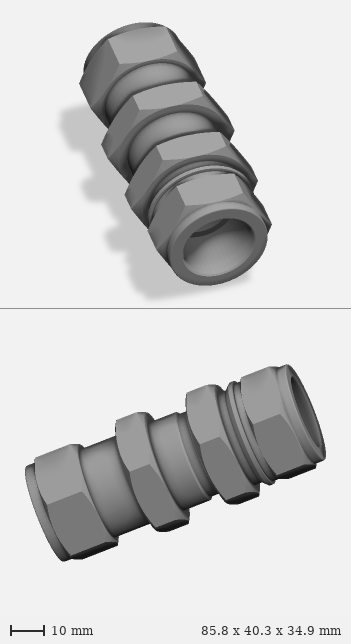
import cadquery as cq
import math

length = 85.8

end_collar_length = 3.1
coupling_nut_end = 17.5
body_nut_start = 30.6
lock_nut_start = 53.65
thick_nut_length = 9.6
groove_start = 48.8
groove_taper = 0.6
groove_end = 52.5
washer_seat_end = 65.6
washer_cone_end = 67.4
washer_end = 68.7
rear_nut_start = 70.9

edge_rounding = 0.4

collar_diameter = 31.2
body_diameter = 28.6
groove_diameter = 26.8
groove_taper_diameter = 27.2
washer_seat_diameter = 29.9
washer_diameter = 33.4
nut_neck_diameter = 31.7
bore_diameter = 18.3
socket_diameter = 22.4

small_hex_corners = 36.65
large_hex_corners = 40.3
hex_chamfer_angle = 30.0
hex_half_side_angle = 180.0 / 6

socket_depth = 17.4
socket_chamfer = 0.4

large_hex_flats = large_hex_corners * math.cos(math.radians(hex_half_side_angle))
body_nut_end = body_nut_start + thick_nut_length
lock_nut_end = lock_nut_start + thick_nut_length
rear_nut_end = length - end_collar_length


def turned(points):
    """Solid of revolution about X through the given (x, diameter) stations."""
    start_x = points[0][0]
    end_x = points[-1][0]
    radii = [(x, diameter / 2) for x, diameter in points]
    outline = cq.Workplane("XY").polyline([(start_x, 0)] + radii + [(end_x, 0)]).close()
    return outline.revolve(360, (0, 0, 0), (1, 0, 0))


def hex_nut(start, end, across_corners, start_face_diameter, end_face_diameter):
    """Hexagon with flats facing up and down, its corners coned down to a round face at each end."""
    chamfer_slope = math.tan(math.radians(hex_chamfer_angle))
    start_chamfer = (across_corners - start_face_diameter) / 2 * chamfer_slope
    end_chamfer = (across_corners - end_face_diameter) / 2 * chamfer_slope
    prism = (
        cq.Workplane("YZ")
        .workplane(offset=start)
        .polygon(6, across_corners)
        .extrude(end - start)
    )
    crown = turned([
        (start, start_face_diameter),
        (start + start_chamfer, across_corners),
        (end - end_chamfer, across_corners),
        (end, end_face_diameter),
    ])
    return prism.intersect(crown)


def rounded_disc(start, end, diameter, rounded_face):
    """Cylinder along X with the rim of one end face ("<X" or ">X") rounded."""
    disc = cq.Workplane("YZ").workplane(offset=start).circle(diameter / 2).extrude(end - start)
    return disc.faces(rounded_face).edges().fillet(edge_rounding)


def outer_body():
    """Turned outside of the fitting between the nuts, with a rounded collar beyond each end nut."""
    barrel = turned([
        (end_collar_length, body_diameter),
        (groove_start, body_diameter),
        (groove_start + groove_taper, groove_taper_diameter),
        (groove_start + groove_taper, groove_diameter),
        (groove_end, groove_diameter),
        (groove_end, body_diameter),
        (lock_nut_start, body_diameter),
        (lock_nut_start, washer_seat_diameter),
        (washer_seat_end, washer_seat_diameter),
        (washer_cone_end, washer_diameter),
        (washer_end, washer_diameter),
    ])
    left_collar = rounded_disc(0, end_collar_length, collar_diameter, "<X")
    rear_neck = rounded_disc(washer_end, rear_nut_start, nut_neck_diameter, "<X")
    right_collar = rounded_disc(rear_nut_end, length, collar_diameter, ">X")
    return barrel.union(left_collar).union(rear_neck).union(right_collar)


def tube_passage():
    """Through bore with a wider, chamfered tube socket at each end."""
    mouth_diameter = socket_diameter + 2 * socket_chamfer
    return turned([
        (0, mouth_diameter),
        (socket_chamfer, socket_diameter),
        (socket_depth, socket_diameter),
        (socket_depth, bore_diameter),
        (length - socket_depth, bore_diameter),
        (length - socket_depth, socket_diameter),
        (length - socket_chamfer, socket_diameter),
        (length, mouth_diameter),
    ])


coupling_nut = hex_nut(
    end_collar_length, coupling_nut_end, small_hex_corners, collar_diameter, nut_neck_diameter
)
rear_nut = hex_nut(rear_nut_start, rear_nut_end, small_hex_corners, nut_neck_diameter, collar_diameter)
body_nut = hex_nut(body_nut_start, body_nut_end, large_hex_corners, large_hex_flats, large_hex_flats)
lock_nut = hex_nut(lock_nut_start, lock_nut_end, large_hex_corners, large_hex_flats, large_hex_flats)

fitting = outer_body()
for nut in (coupling_nut, body_nut, lock_nut, rear_nut):
    fitting = fitting.union(nut)

result = fitting.cut(tube_passage())